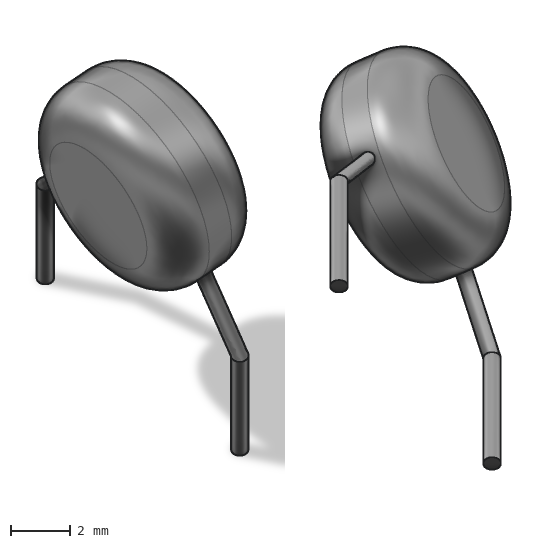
import cadquery as cq

disc_diameter = 8.0
disc_thickness = 4.0
rim_radius = 1.5

total_height = 14.0
lead_diameter = 0.6
lead_offset = 5.0
straight_length = 5.0
aim_offset = 2.5
aim_height = 8.5

disc_center_height = total_height - disc_diameter / 2


def make_disc():
    """Round housing with both rims rounded."""
    return (
        cq.Workplane("XZ", origin=(0, disc_thickness / 2, disc_center_height))
        .circle(disc_diameter / 2)
        .extrude(disc_thickness)
        .faces("<Y or >Y")
        .edges()
        .fillet(rim_radius)
    )


def make_straight_lead(side):
    """Vertical lead, on the +X side for side = 1 and the -X side for side = -1."""
    return (
        cq.Workplane("XY", origin=(side * lead_offset, 0, 0))
        .circle(lead_diameter / 2)
        .extrude(straight_length)
    )


def make_slanted_lead(side):
    """Lead leaning inward from the top of a straight lead, with a level circular lower end."""
    path = (
        cq.Workplane("XZ")
        .moveTo(side * lead_offset, straight_length)
        .lineTo(side * aim_offset, aim_height)
    )
    return (
        cq.Workplane("XY", origin=(side * lead_offset, 0, straight_length))
        .circle(lead_diameter / 2)
        .sweep(path)
    )


disc = make_disc()
straight_leads = [make_straight_lead(side) for side in (-1, 1)]
slanted_leads = [make_slanted_lead(side).cut(disc) for side in (-1, 1)]

result = cq.Compound.makeCompound(
    [disc.val()] + [lead.val() for lead in straight_leads + slanted_leads]
)